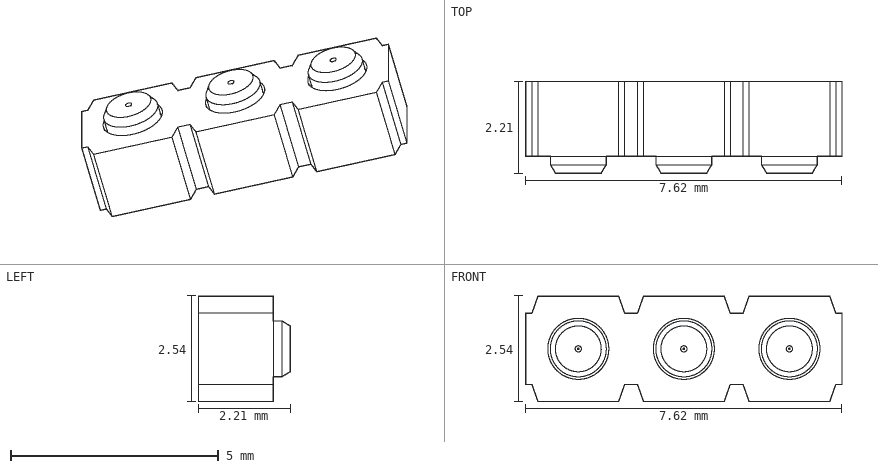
import cadquery as cq

length = 7.62
cell_count = 3
pitch = length / cell_count
height = pitch
housing_depth = 1.805

notch_depth = 0.41
notch_floor_half_width = 0.15
notch_mouth_half_width = 0.3

contact_reach = 0.405
rim_reach = contact_reach / 2
button_diameter = 1.35
tip_diameter = 1.105
dimple_diameter = 0.15
dimple_floor_diameter = 0.04
dimple_depth = 0.08

socket_diameter = 1.47
socket_depth = 0.4
flare_start_depth = 0.15

cell_centers = [(i - (cell_count - 1) / 2) * pitch for i in range(cell_count)]


def upper_cell_edge(center):
    """Points of the raised upper edge of one cell, from left to right."""
    floor_offset = pitch / 2 - notch_floor_half_width
    mouth_offset = pitch / 2 - notch_mouth_half_width
    top = height / 2
    floor = top - notch_depth
    return [
        (center - floor_offset, floor),
        (center - mouth_offset, top),
        (center + mouth_offset, top),
        (center + floor_offset, floor),
    ]


def make_housing():
    """Notched bar with one blind round socket per cell."""
    end_height = height / 2 - notch_depth
    upper = [(-length / 2, end_height)]
    for center in cell_centers:
        upper += upper_cell_edge(center)
    upper.append((length / 2, end_height))
    lower = [(x, -z) for x, z in reversed(upper)]
    bar = cq.Workplane("XZ").polyline(upper + lower).close().extrude(-housing_depth)
    sockets = (
        cq.Workplane("XZ")
        .pushPoints([(center, 0) for center in cell_centers])
        .circle(socket_diameter / 2)
        .extrude(-socket_depth)
    )
    return bar.cut(sockets)


def make_contact(center):
    """Turned button: flared foot, straight rim, tapered tip and a small tapered dimple."""
    socket_radius = socket_diameter / 2
    button_radius = button_diameter / 2
    half_section = [
        (socket_depth, 0),
        (socket_depth, socket_radius),
        (flare_start_depth, button_radius),
        (-rim_reach, button_radius),
        (-contact_reach, tip_diameter / 2),
        (-contact_reach, dimple_diameter / 2),
        (dimple_depth - contact_reach, dimple_floor_diameter / 2),
        (dimple_depth - contact_reach, 0),
    ]
    turned = cq.Workplane("YZ").polyline(half_section).close().revolve(360, (0, 0, 0), (1, 0, 0))
    return turned.translate((center, 0, 0))


housing = make_housing()
contacts = [make_contact(center) for center in cell_centers]

result = cq.Compound.makeCompound([housing.val(), *[contact.val() for contact in contacts]])